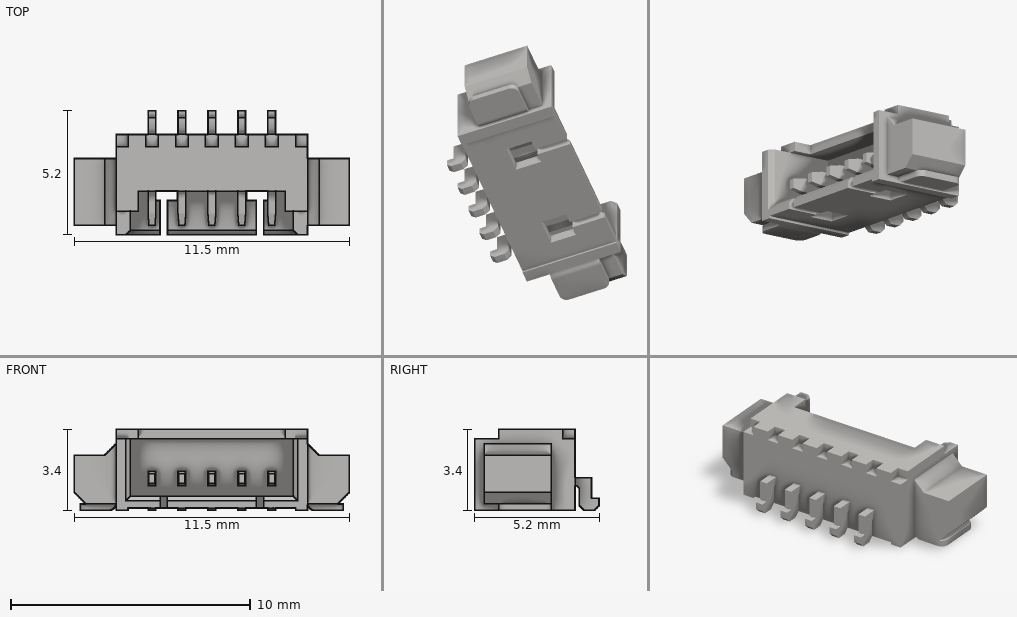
import cadquery as cq
import math


housing_width = 8.0
housing_depth = 4.2
housing_height = 3.4
tail_reach = 1.0
overall_depth = housing_depth + tail_reach
y_front = -overall_depth / 2
y_back = y_front + housing_depth
half_width = housing_width / 2

lid_thickness = 0.4
lid_underside = housing_height - lid_thickness
lid_setback = 1.0
lid_recess_width = 6.14
lid_recess_depth = 1.83

cavity_width = 6.8
cavity_depth = 3.0
cavity_floor = 0.6
mouth_chamfer = 0.2

foot_width = 0.5
foot_height = 0.1

slot_spacing = 4.02
slot_width = 0.3
window_width = 1.12
window_front = 1.45
window_length = window_width

notch_depth = 0.52
pin_notch_width = 0.53
corner_notch_width = 0.5

pin_count = 5
pin_pitch = 1.25
pin_width = 0.33
pin_bottom = 1.03
pin_height = 0.6
pin_tip_setback = 0.4
pin_taper_length = 0.5
pin_tip_width = 0.25
pin_tip_height = 0.4
tail_top = 1.37
tail_inner_gap = 0.17
tail_outer = 0.69
tail_foot_height = 0.51
tail_foot_chamfer = 0.2
tail_inner_chamfer = 0.1

wing_reach = 5.75
wing_front = 0.4
wing_back = 3.2
wing_bottom = 0.27
wing_top = 2.31
wing_gusset = 0.48
wing_bevel = 0.49
tab_reach = 5.5
tab_front = 1.0
tab_radius = 0.32
tab_bend_radius = 0.3


def block(x_min, x_max, y_min, y_max, z_min, z_max):
    """Axis-aligned box given by its limits."""
    size = (x_max - x_min, y_max - y_min, z_max - z_min)
    return cq.Workplane("XY").box(*size, centered=False).translate((x_min, y_min, z_min))


def centred_block(x_centre, width, y_min, y_max, z_min, z_max):
    """Axis-aligned box of a given width about x_centre."""
    return block(x_centre - width / 2, x_centre + width / 2, y_min, y_max, z_min, z_max)


def extrude_xz(profile, y_min, y_max):
    """Extrude a closed XZ outline from y_min to y_max."""
    return profile.extrude(-(y_max - y_min)).translate((0, y_min, 0))


def make_cavity():
    """Mating cavity, widened at the mouth along its sides and floor."""
    cavity = centred_block(0, cavity_width, y_front, y_front + cavity_depth, cavity_floor, lid_underside)
    mouth_height = lid_underside - cavity_floor
    mouth_middle = (lid_underside + cavity_floor) / 2
    mouth = (
        cq.Workplane("XZ", origin=(0, y_front, 0))
        .center(0, mouth_middle - mouth_chamfer / 2)
        .rect(cavity_width + 2 * mouth_chamfer, mouth_height + mouth_chamfer)
        .workplane(offset=-mouth_chamfer)
        .center(0, mouth_chamfer / 2)
        .rect(cavity_width, mouth_height)
        .loft(ruled=True)
    )
    return cavity.union(mouth)


def make_keying_slot(x_centre):
    """Narrow slot from the front edge of the floor into a square window."""
    y_window = y_front + window_front
    slot = centred_block(x_centre, slot_width, y_front, y_window, 0, cavity_floor)
    window = centred_block(x_centre, window_width, y_window, y_window + window_length, 0, cavity_floor)
    return slot.union(window)


def make_housing(pin_positions):
    housing = centred_block(0, housing_width, y_front, y_back, 0, housing_height)
    housing = housing.cut(make_cavity())

    housing = housing.cut(
        centred_block(0, housing_width, y_front, y_front + lid_setback, lid_underside, housing_height)
    )
    housing = housing.cut(
        centred_block(0, lid_recess_width, y_front, y_front + lid_recess_depth, lid_underside, housing_height)
    )

    relief_width = housing_width - 2 * foot_width
    housing = housing.cut(centred_block(0, relief_width, y_front, y_back, 0, foot_height))

    for side in (-1, 1):
        housing = housing.cut(make_keying_slot(side * slot_spacing / 2))

    notches = [(x, pin_notch_width) for x in pin_positions]
    corner_x = half_width - corner_notch_width / 2
    notches += [(-corner_x, corner_notch_width), (corner_x, corner_notch_width)]
    for x, width in notches:
        housing = housing.cut(
            centred_block(x, width, y_back - notch_depth, y_back, lid_underside, housing_height)
        )
    return housing


def make_pin(x_centre):
    """Flat contact with a tapered tip, and a bent solder tail behind the housing."""
    y_tip = y_front + pin_tip_setback
    y_shoulder = y_tip + pin_taper_length
    y_root = (y_front + cavity_depth + y_back) / 2
    blade = centred_block(x_centre, pin_width, y_shoulder, y_root, pin_bottom, pin_bottom + pin_height)
    tip = (
        cq.Workplane("XZ", origin=(x_centre, y_tip, pin_bottom + pin_height / 2))
        .rect(pin_tip_width, pin_tip_height)
        .workplane(offset=-pin_taper_length)
        .rect(pin_width, pin_height)
        .loft(ruled=True)
    )

    y_inner = y_back + tail_inner_gap
    y_outer = y_back + tail_outer
    y_end = y_back + tail_reach
    tail = (
        cq.Workplane("YZ")
        .moveTo(y_root, pin_bottom)
        .lineTo(y_inner - tail_inner_chamfer, pin_bottom)
        .lineTo(y_inner, pin_bottom - tail_inner_chamfer)
        .lineTo(y_inner, tail_foot_chamfer)
        .lineTo(y_inner + tail_foot_chamfer, 0)
        .lineTo(y_end - tail_foot_chamfer, 0)
        .lineTo(y_end, tail_foot_chamfer)
        .lineTo(y_end, tail_foot_height)
        .lineTo(y_outer, tail_foot_height)
        .lineTo(y_outer, tail_top)
        .lineTo(y_root, tail_top)
        .close()
        .extrude(pin_width)
        .translate((x_centre - pin_width / 2, 0, 0))
    )
    return blade.union(tip).union(tail)


def make_wing():
    """Wing on the +X side with its solder tab underneath."""
    outline = (
        cq.Workplane("XZ")
        .moveTo(half_width, wing_bottom)
        .lineTo(wing_reach - wing_bevel, wing_bottom)
        .lineTo(wing_reach, wing_bottom + wing_bevel)
        .lineTo(wing_reach, wing_top)
        .lineTo(half_width + wing_gusset, wing_top)
        .lineTo(half_width, wing_top + wing_gusset)
        .close()
    )
    wing = extrude_xz(outline, y_front + wing_front, y_front + wing_back)

    arc_middle = tab_bend_radius * (1 - math.sqrt(0.5))
    tab_outline = (
        cq.Workplane("XZ")
        .moveTo(half_width + tab_bend_radius, 0)
        .lineTo(tab_reach, 0)
        .lineTo(tab_reach, wing_bottom)
        .lineTo(half_width + tab_bend_radius, wing_bottom)
        .lineTo(half_width, tab_bend_radius)
        .threePointArc((half_width + arc_middle, arc_middle), (half_width + tab_bend_radius, 0))
        .close()
    )
    tab = extrude_xz(tab_outline, y_front + tab_front, y_front + wing_back)
    tab = tab.edges("|Z and >X").fillet(tab_radius)
    return wing.union(tab)


first_pin_x = -pin_pitch * (pin_count - 1) / 2
pin_positions = [first_pin_x + i * pin_pitch for i in range(pin_count)]

result = make_housing(pin_positions)
for pin_x in pin_positions:
    result = result.union(make_pin(pin_x))

right_wing = make_wing()
result = result.union(right_wing).union(right_wing.mirror("YZ"))